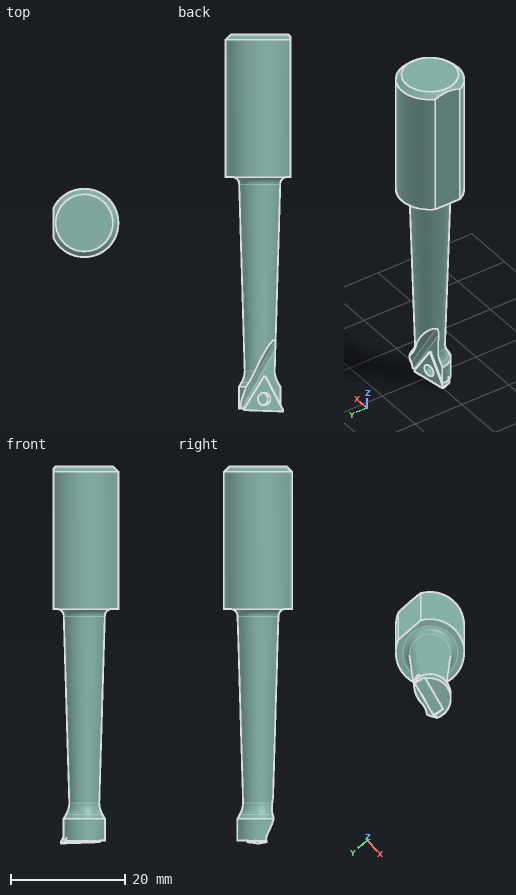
import cadquery as cq
import math


shank_radius = 6.0
shank_length = 25.0
shank_chamfer = 1.0
shank_flat_offset = 5.4

collar_fillet = 1.2
neck_top_radius = 3.62
neck_bottom_radius = 2.65
neck_bottom_z = -33.9
head_radius = 3.65
head_bottom_z = -40.5
flare_radius = 4.0
flare_angle = math.radians(30)

rake_angle = math.radians(12)
flute_incline = math.radians(30)
flute_wall_lean = math.radians(30)
floor_offset = 0.67
flute_corner_x = -0.55
flute_corner_z = -32.8
flute_corner_radius = 1.0
flute_width = 12.0
flute_depth = 9.0
flute_half_length = 20.0

insert_side = 7.3
insert_thickness = 2.0
insert_proud = 0.25
insert_tilt = math.radians(2)
insert_clearance_angle = 7.0
insert_corner_radius = 0.2
insert_hole_diameter = 2.2
tip_left_x = -4.08
tip_bottom_z = -41.03

floor_normal = cq.Vector(-math.sin(rake_angle), math.cos(rake_angle), 0)
floor_across = cq.Vector(math.cos(rake_angle), math.sin(rake_angle), 0)
up = cq.Vector(0, 0, 1)


def floor_point(x, z):
    """Point of the flute floor at the given X and Z."""
    return cq.Vector(x, floor_offset + x * math.tan(rake_angle), z)


def make_turned_blank():
    """Shank, tapered neck and flared head as one turned shape."""
    flare_end_radius = neck_bottom_radius + flare_radius * (1 - math.cos(flare_angle))
    flare_end_z = neck_bottom_z - flare_radius * math.sin(flare_angle)
    flare_mid_radius = neck_bottom_radius + flare_radius * (1 - math.cos(flare_angle / 2))
    flare_mid_z = neck_bottom_z - flare_radius * math.sin(flare_angle / 2)
    head_top_z = flare_end_z - (head_radius - flare_end_radius) / math.tan(flare_angle)
    collar_mid = collar_fillet * (1 - math.sqrt(0.5))
    return (
        cq.Workplane("XZ")
        .moveTo(0, shank_length)
        .lineTo(shank_radius - shank_chamfer, shank_length)
        .lineTo(shank_radius, shank_length - shank_chamfer)
        .lineTo(shank_radius, 0)
        .lineTo(neck_top_radius + collar_fillet, 0)
        .threePointArc(
            (neck_top_radius + collar_mid, -collar_mid),
            (neck_top_radius, -collar_fillet),
        )
        .lineTo(neck_bottom_radius, neck_bottom_z)
        .threePointArc((flare_mid_radius, flare_mid_z), (flare_end_radius, flare_end_z))
        .lineTo(head_radius, head_top_z)
        .lineTo(head_radius, head_bottom_z)
        .lineTo(0, head_bottom_z)
        .close()
        .revolve(360, (0, 0, 0), (0, 1, 0))
    )


def make_shank_flat_cutter():
    """Block that leaves the clamping flat on the -X side of the shank."""
    return cq.Workplane("XY").box(
        shank_radius, 2 * shank_radius, shank_length, centered=(True, True, False)
    ).translate((-shank_flat_offset - shank_radius / 2, 0, 0))


def make_flute_cutter():
    """V-groove along the inclined floor, with a rounded corner between floor and wall."""
    corner = floor_point(flute_corner_x, flute_corner_z)
    along = floor_across * math.sin(flute_incline) - up * math.cos(flute_incline)
    away_from_wall = floor_across * -math.cos(flute_incline) - up * math.sin(flute_incline)
    return (
        cq.Workplane(cq.Plane(corner, away_from_wall, along))
        .polyline([
            (0, 0),
            (flute_width, 0),
            (flute_width, flute_depth),
            (-flute_depth * math.tan(flute_wall_lean), flute_depth),
        ])
        .close()
        .extrude(flute_half_length, both=True)
        .edges(cq.selectors.NearestToPointSelector(corner.toTuple()))
        .fillet(flute_corner_radius)
    )


def make_insert_blank():
    """Solid triangular plate that narrows away from its rake face; its lower left corner is the tip."""
    circumradius = insert_side / math.sqrt(3)
    corner_reach = circumradius - 2 * insert_corner_radius
    tip_direction = math.radians(210) + insert_tilt
    reach_across = -corner_reach * math.cos(tip_direction) + insert_corner_radius
    reach_down = -corner_reach * math.sin(tip_direction) + insert_corner_radius
    center_x = tip_left_x + reach_across * math.cos(rake_angle)
    center_z = tip_bottom_z + reach_down
    center = floor_point(center_x, center_z) + floor_normal * insert_proud
    bottom_side = floor_across * math.cos(insert_tilt) + up * math.sin(insert_tilt)
    outline = (
        cq.Sketch()
        .regularPolygon(circumradius, 3)
        .vertices()
        .fillet(insert_corner_radius)
    )
    return (
        cq.Workplane(cq.Plane(center, bottom_side, floor_normal * -1))
        .placeSketch(outline)
        .extrude(insert_thickness, taper=insert_clearance_angle)
    )


def make_insert(blank):
    """Insert with its mounting hole through the plate."""
    hole = (
        cq.Workplane(blank.plane)
        .circle(insert_hole_diameter / 2)
        .extrude(insert_thickness)
    )
    return blank.cut(hole)


def make_holder(insert_blank):
    """Tool holder with shank flat, flute and a seat that matches the insert."""
    return (
        make_turned_blank()
        .cut(make_shank_flat_cutter())
        .cut(make_flute_cutter())
        .cut(insert_blank)
    )


insert_blank = make_insert_blank()
holder = make_holder(insert_blank)
insert = make_insert(insert_blank)

result = cq.Compound.makeCompound([holder.val(), insert.val()])